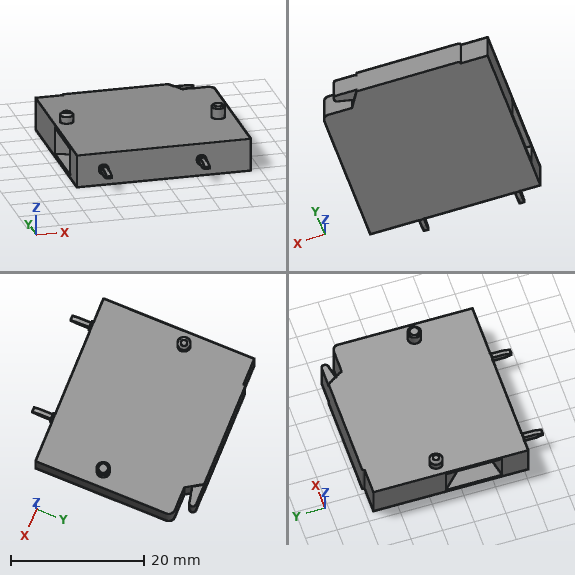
import cadquery as cq

housing_length = 27.0
housing_thickness = 5.15
housing_depth = 24.8
mid_height = housing_thickness / 2

step_x = 4.25
step_drop = 0.35
step_radius = 0.3
notch_floor_y = 22.22
notch_floor_x = 22.27
notch_top_x = 20.65
corner_radius = 1.0

latch_width = 4.25
latch_tip_radius = 0.55
latch_tip_x = 24.45
latch_root_x = 19.8
latch_taper = 0.217

peg_diameter = 2.0

pin_positions_x = (4.1, 19.3)
collar_diameter = 1.45
collar_length = 0.45
pin_length = 3.5
pin_straight_length = 2.4
pin_width = 0.75
pin_height = 0.9
pin_tip_height = 0.35

pocket_depth = 2.75
mouth_y_range = (4.15, 13.02)
mouth_height = 4.25
floor_y_range = (5.05, 9.95)
floor_height = 2.75


def make_housing():
    return (
        cq.Workplane("XY")
        .lineTo(housing_length, 0)
        .lineTo(housing_length, notch_floor_y - corner_radius)
        .radiusArc((housing_length - corner_radius, notch_floor_y), -corner_radius)
        .lineTo(notch_floor_x, notch_floor_y)
        .lineTo(notch_top_x, housing_depth)
        .lineTo(step_x + step_radius, housing_depth)
        .radiusArc((step_x, housing_depth - step_radius), -step_radius)
        .lineTo(step_x, housing_depth - step_drop)
        .lineTo(0, housing_depth - step_drop)
        .close()
        .extrude(housing_thickness)
    )


def make_latch():
    """Arm with a flat outer side, a rounded tip and an inner side that slopes to the root."""
    tip_center_x = latch_tip_x - latch_tip_radius
    tip_inner_y = housing_depth - 2 * latch_tip_radius
    root_inner_y = tip_inner_y - latch_taper * (tip_center_x - latch_root_x)
    return (
        cq.Workplane("XY", origin=(0, 0, mid_height))
        .moveTo(latch_root_x, housing_depth)
        .lineTo(tip_center_x, housing_depth)
        .threePointArc((latch_tip_x, housing_depth - latch_tip_radius), (tip_center_x, tip_inner_y))
        .lineTo(latch_root_x, root_inner_y)
        .close()
        .extrude(latch_width / 2, both=True)
    )


def make_peg(x, y, straight_height, total_height, tip_diameter):
    """Round peg with a conical end, standing on the top face."""
    profile = (
        cq.Workplane("XZ", origin=(x, y, housing_thickness))
        .lineTo(peg_diameter / 2, 0)
        .lineTo(peg_diameter / 2, straight_height)
        .lineTo(tip_diameter / 2, total_height)
        .lineTo(0, total_height)
        .close()
    )
    return profile.revolve(360, (0, 0, 0), (0, 1, 0))


def make_pin(x):
    """Round collar and a flat blade that thins in Z towards its end."""
    collar = cq.Workplane("XZ", origin=(x, 0, mid_height)).circle(collar_diameter / 2).extrude(collar_length)
    blade = (
        cq.Workplane("YZ", origin=(x, 0, mid_height))
        .moveTo(0, -pin_height / 2)
        .lineTo(-pin_straight_length, -pin_height / 2)
        .lineTo(-pin_length, -pin_tip_height / 2)
        .lineTo(-pin_length, pin_tip_height / 2)
        .lineTo(-pin_straight_length, pin_height / 2)
        .lineTo(0, pin_height / 2)
        .close()
        .extrude(pin_width / 2, both=True)
    )
    return collar.union(blade)


def make_grip_pocket():
    """Cutter that narrows from the mouth in the left face to a smaller flat floor."""
    mouth_start, mouth_end = mouth_y_range
    floor_start, floor_end = floor_y_range
    mouth_center = (mouth_start + mouth_end) / 2
    floor_center = (floor_start + floor_end) / 2
    return (
        cq.Workplane("YZ", origin=(0, mouth_center, mid_height))
        .rect(mouth_end - mouth_start, mouth_height)
        .workplane(offset=pocket_depth)
        .center(floor_center - mouth_center, 0)
        .rect(floor_end - floor_start, floor_height)
        .loft(ruled=True)
    )


result = make_housing().union(make_latch())
result = result.union(make_peg(x=2.07, y=13.9, straight_height=1.08, total_height=1.53, tip_diameter=0.95))
result = result.union(make_peg(x=24.55, y=10.0, straight_height=1.65, total_height=1.92, tip_diameter=1.45))
for pin_x in pin_positions_x:
    result = result.union(make_pin(pin_x))
result = result.cut(make_grip_pocket())